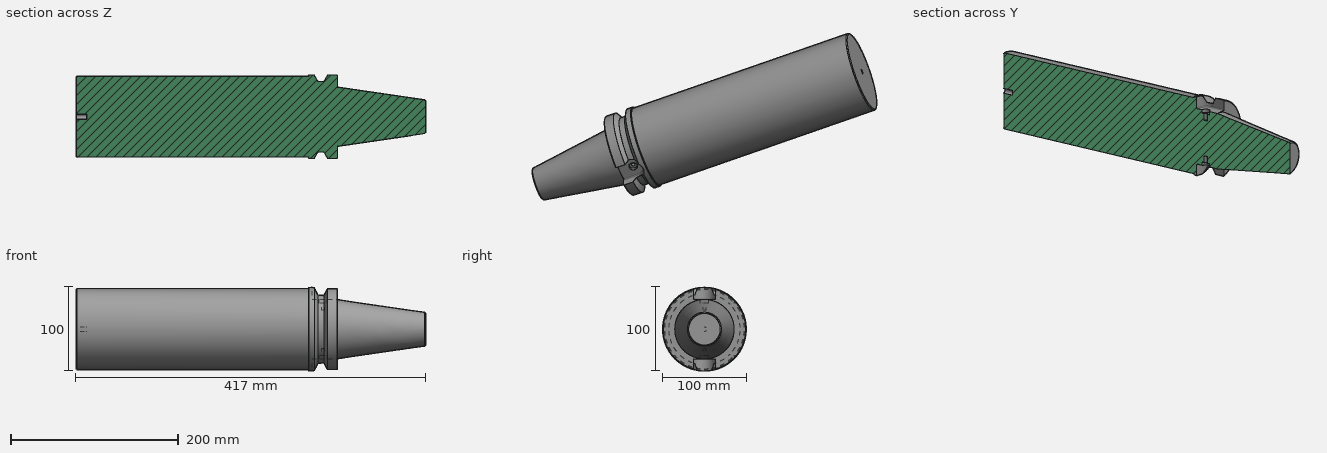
import cadquery as cq
import math

total_length = 417.0
taper_length = 105.0
flange_width = 35.0
flange_end = total_length - taper_length
flange_start = flange_end - flange_width

body_radius = 97.0 / 2
flange_radius = 100.0 / 2
groove_radius = 85.0 / 2
taper_large_radius = 71.0 / 2
taper_slope = 7 / 48
taper_small_radius = taper_large_radius - taper_length * taper_slope
nose_chamfer = 1.3
tail_chamfer = 1.3
flange_chamfer = 1.0

groove_floor_width = 7.0
groove_center = 291.8
groove_flank_angle = 30.0
groove_flank_width = (flange_radius - groove_radius) * math.tan(math.radians(groove_flank_angle))
groove_floor_start = groove_center - groove_floor_width / 2
groove_floor_end = groove_center + groove_floor_width / 2

slot_width = 26.0
slot_floor_height = 35.5
slot_center_x = 294.3
slot_floor_fillet = 1.0
counterbore_diameter = 10.0
counterbore_depth = 4.0
slot_hole_diameter = 4.0
slot_hole_depth = 12.5

nose_hole_diameter = 5.5
nose_hole_depth = 12.5


def turned_body():
    profile = [
        (0, 0),
        (0, body_radius - nose_chamfer),
        (nose_chamfer, body_radius),
        (flange_start, body_radius),
        (flange_start, flange_radius - flange_chamfer),
        (flange_start + flange_chamfer, flange_radius),
        (groove_floor_start - groove_flank_width, flange_radius),
        (groove_floor_start, groove_radius),
        (groove_floor_end, groove_radius),
        (groove_floor_end + groove_flank_width, flange_radius),
        (flange_end - flange_chamfer, flange_radius),
        (flange_end, flange_radius - flange_chamfer),
        (flange_end, taper_large_radius),
        (total_length - tail_chamfer, taper_small_radius + tail_chamfer * taper_slope),
        (total_length, taper_small_radius - tail_chamfer),
        (total_length, 0),
    ]
    return cq.Workplane("XY").polyline(profile).close().revolve(360, (0, 0, 0), (1, 0, 0))


def upward_cylinder(diameter, bottom, top):
    return cq.Workplane("XY", origin=(slot_center_x, 0, bottom)).circle(diameter / 2).extrude(top - bottom)


def drive_slot():
    """Round-ended slot, open through the rear flange face, with its stepped hole."""
    straight_length = flange_end - slot_center_x
    slot_depth = flange_radius - slot_floor_height
    straight = cq.Workplane("XY").box(
        straight_length, slot_width, slot_depth, centered=(False, True, False)
    ).translate((slot_center_x, 0, slot_floor_height))
    round_end = upward_cylinder(slot_width, slot_floor_height, flange_radius)
    counterbore = upward_cylinder(
        counterbore_diameter, slot_floor_height - counterbore_depth, slot_floor_height
    )
    hole = upward_cylinder(slot_hole_diameter, slot_floor_height - slot_hole_depth, slot_floor_height)
    slot = straight.union(round_end).faces("<Z").edges("not >X").fillet(slot_floor_fillet)
    return slot.union(counterbore).union(hole)


def nose_hole():
    return cq.Workplane("YZ").circle(nose_hole_diameter / 2).extrude(nose_hole_depth)


upper_slot = drive_slot()
lower_slot = upper_slot.rotate((0, 0, 0), (1, 0, 0), 180)
result = turned_body().cut(upper_slot).cut(lower_slot).cut(nose_hole())